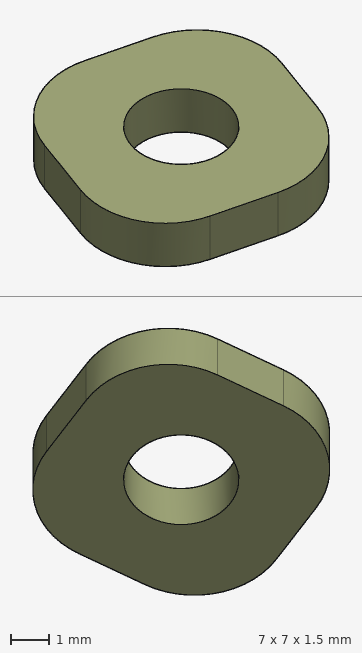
import cadquery as cq

side = 7.0
thickness = 1.5
hole_diameter = 3.0
corner_radius = 2.5

plate = cq.Workplane("XY").rect(side, side).extrude(thickness)
plate = plate.edges("|Z").fillet(corner_radius)

result = plate.faces(">Z").workplane().hole(hole_diameter)